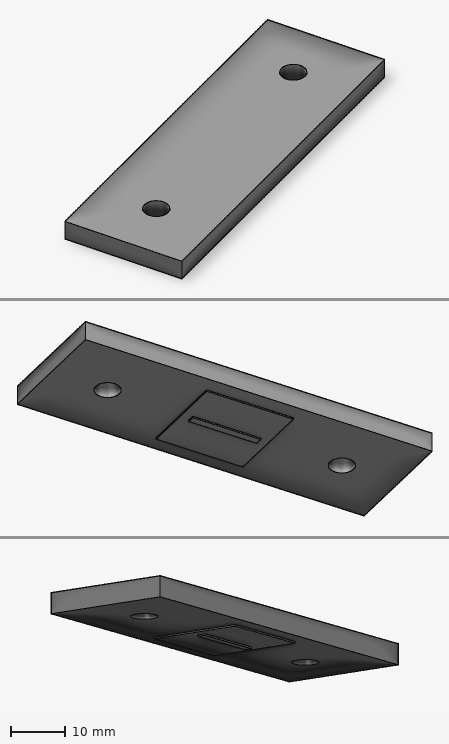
import cadquery as cq

PLATE_WIDTH = 25.0
PLATE_LENGTH = 74.0
PLATE_THICKNESS = 4.0

HOLE_DIAMETER = 5.0
HOLE_SPACING = 50.0

PAD_SIDE = 18.5
PAD_HEIGHT = 0.3

RIB_WIDTH = 1.5
RIB_LENGTH = 14.5
RIB_HEIGHT = 0.3


def make_plate():
    """Rectangular plate with two through holes."""
    plate = cq.Workplane("XY").rect(PLATE_WIDTH, PLATE_LENGTH).extrude(PLATE_THICKNESS)
    half_spacing = HOLE_SPACING / 2
    return (
        plate.faces(">Z")
        .workplane()
        .pushPoints([(0, -half_spacing), (0, half_spacing)])
        .hole(HOLE_DIAMETER)
    )


def make_pad():
    """Square pad hanging from the underside of the plate."""
    return cq.Workplane("XY").rect(PAD_SIDE, PAD_SIDE).extrude(-PAD_HEIGHT)


def make_rib():
    """Straight rib hanging from the plate through the pad and below it."""
    return cq.Workplane("XY").rect(RIB_WIDTH, RIB_LENGTH).extrude(-(PAD_HEIGHT + RIB_HEIGHT))


result = make_plate().union(make_pad()).union(make_rib())